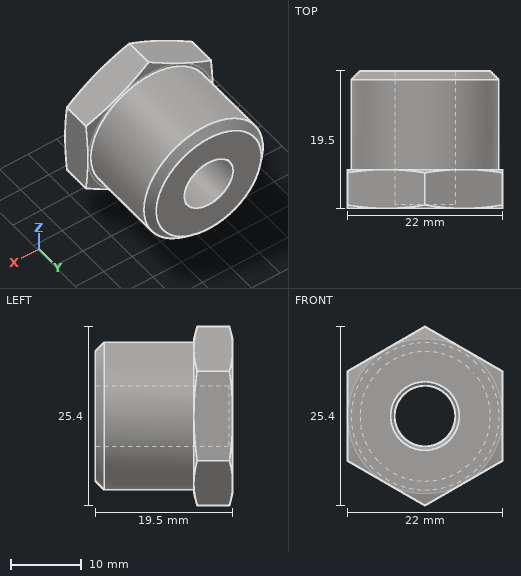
import cadquery as cq
import math

hexagon_sides = 6
across_flats = 22.0
head_length = 5.5
corner_chamfer_angle = 15.0

overall_length = 19.5
shank_diameter = 20.955
shank_chamfer = 1.25

bore_diameter = 8.566
countersink_diameter = 9.728
countersink_depth = (countersink_diameter - bore_diameter) / 2

half_side_angle = 180 / hexagon_sides
across_corners = across_flats / math.cos(math.radians(half_side_angle))
flat_radius = across_flats / 2
corner_radius = across_corners / 2


def revolve_about_y(profile_points):
    """Revolve a closed (radius, y) outline about the Y axis."""
    return cq.Workplane("XY").polyline(profile_points).close().revolve(360, (0, 0, 0), (0, 1, 0))


def make_head():
    """Hexagon with corners on +/-Z, chamfered conically at both end faces."""
    prism = (
        cq.Workplane("XZ")
        .polygon(hexagon_sides, across_corners)
        .extrude(-head_length)
        .rotate((0, 0, 0), (0, 1, 0), half_side_angle)
    )
    chamfer_depth = (corner_radius - flat_radius) * math.tan(math.radians(corner_chamfer_angle))
    envelope = revolve_about_y([
        (0, 0),
        (flat_radius, 0),
        (corner_radius, chamfer_depth),
        (corner_radius, head_length - chamfer_depth),
        (flat_radius, head_length),
        (0, head_length),
    ])
    return prism.intersect(envelope)


def make_shank():
    """Cylinder running through the head to the chamfered rear end."""
    shank_radius = shank_diameter / 2
    return revolve_about_y([
        (0, 0),
        (shank_radius, 0),
        (shank_radius, overall_length - shank_chamfer),
        (shank_radius - shank_chamfer, overall_length),
        (0, overall_length),
    ])


def make_bore():
    """Through hole widened by the countersink at the head face."""
    bore_radius = bore_diameter / 2
    return revolve_about_y([
        (0, 0),
        (countersink_diameter / 2, 0),
        (bore_radius, countersink_depth),
        (bore_radius, overall_length),
        (0, overall_length),
    ])


result = make_head().union(make_shank()).cut(make_bore())